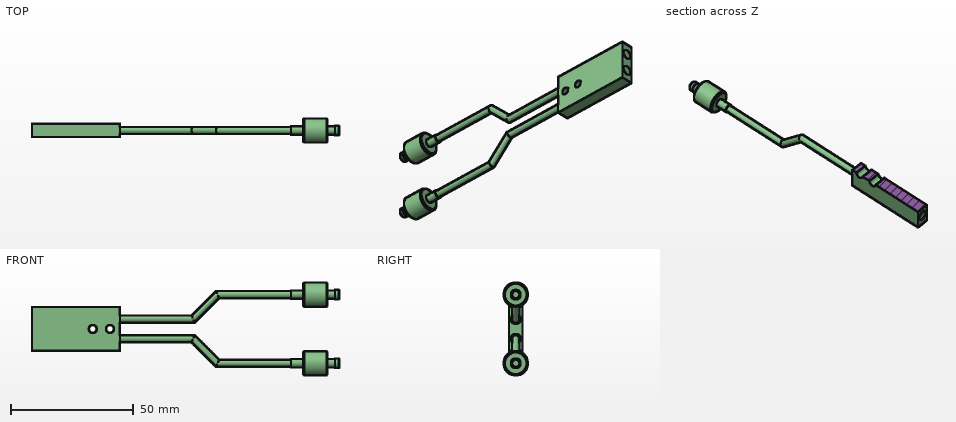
import cadquery as cq

total_length = 126.0
total_height = 38.0
drum_diameter = 10.0

block_length = 36.0
block_thickness = 5.5
block_height = 18.0

mounting_hole_diameter = 3.2
mounting_hole_spacing = 7.0
mounting_hole_end_distance = 4.0

bore_diameter = 4.0
lead_diameter = 3.0
inner_lead_offset = 4.0
outer_lead_offset = (total_height - drum_diameter) / 2
straight_length = 30.0
bend_rise = outer_lead_offset - inner_lead_offset
first_bend_x = block_length + straight_length
second_bend_x = first_bend_x + bend_rise
lead_end_x = second_bend_x + straight_length

collar_diameter = 3.5
collar_length = 5.0
drum_length = 10.0
drum_chamfer = 0.5
tip_diameter = 4.0
tip_length = 2.0
tip_chamfer = 0.5
drum_start_x = lead_end_x + collar_length
drum_end_x = drum_start_x + drum_length
tip_start_x = total_length - tip_length

sides = (1, -1)


def rod(diameter, start_x, end_x, z):
    """Round bar along X from start_x to end_x, at height z."""
    return (
        cq.Workplane("YZ", origin=(start_x, 0, z))
        .circle(diameter / 2)
        .extrude(end_x - start_x)
    )


def make_block():
    """Flat block with two lengthwise bores and two cross holes."""
    block = cq.Workplane("XY").box(
        block_length, block_thickness, block_height, centered=(False, True, True)
    )
    for side in sides:
        block = block.cut(rod(bore_diameter, 0, block_length, side * inner_lead_offset))

    last_hole_x = block_length - mounting_hole_end_distance
    mounting_holes = (
        cq.Workplane("XZ")
        .pushPoints([(last_hole_x - mounting_hole_spacing, 0), (last_hole_x, 0)])
        .circle(mounting_hole_diameter / 2)
        .extrude(block_thickness, both=True)
    )
    return block.cut(mounting_holes)


def make_probe(side):
    """Thick end inside the block, joined to a lead with two mitred bends."""
    lead_path = cq.Workplane("XZ").polyline([
        (block_length, side * inner_lead_offset),
        (first_bend_x, side * inner_lead_offset),
        (second_bend_x, side * outer_lead_offset),
        (lead_end_x, side * outer_lead_offset),
    ])
    lead = (
        cq.Workplane("YZ", origin=(block_length, 0, side * inner_lead_offset))
        .circle(lead_diameter / 2)
        .sweep(lead_path, transition="right")
    )
    return rod(bore_diameter, 0, block_length, side * inner_lead_offset).union(lead)


def make_connector(side):
    """Drum with a collar and a neck, ending in a chamfered tip."""
    z = side * outer_lead_offset
    spindle = rod(collar_diameter, lead_end_x, tip_start_x, z)
    drum = rod(drum_diameter, drum_start_x, drum_end_x, z).edges().chamfer(drum_chamfer)
    tip = rod(tip_diameter, tip_start_x, total_length, z).faces(">X").edges().chamfer(tip_chamfer)
    return spindle.union(drum).union(tip)


block = make_block()
probes = [make_probe(side) for side in sides]
connectors = [make_connector(side) for side in sides]

result = cq.Compound.makeCompound([body.solids().val() for body in [block, *probes, *connectors]])